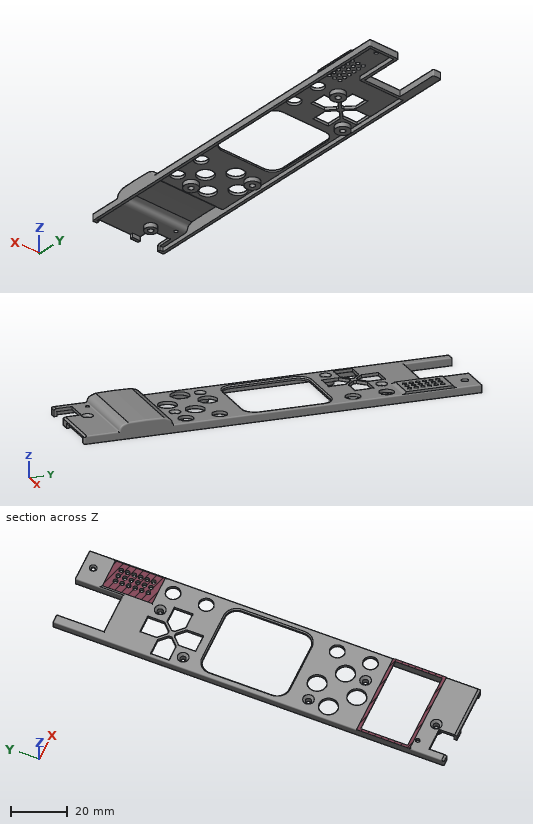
import cadquery as cq
import math

WIDTH = 33.11
LENGTH = 149.8
PLATE_TOP = 3.0
SKIN = 1.2
PLATE_UNDERSIDE = PLATE_TOP - SKIN
EDGE_FILLET = 0.5
NEAR_BEVEL_RUN = 0.9
NEAR_BEVEL_DROP = 0.5
OVERCUT = 1.0

ARM_WIDTH = 3.6
BLOCK_LEFT = 19.9
FAR_NOTCH_DEPTH = 18.1
FAR_NOTCH_FLOOR = LENGTH - FAR_NOTCH_DEPTH

NEAR_NOTCH_LEFT = 2.7
NEAR_NOTCH_RIGHT = 11.75
NEAR_NOTCH_DEPTH = 6.8
OPENING_LEFT = 15.4
OPENING_RIGHT = 31.0

HUMP_Y = 23.3
HUMP_RIDGE = 6.2
HUMP_SHOULDER = 6.05
HUMP_TOP_HALF = 6.8
HUMP_BEVEL_RUN = 1.55
HUMP_BEVEL_ANGLE = math.radians(20)
HUMP_WALL_ANGLE = math.radians(80)
HUMP_ROUND = 2.7
HUMP_SIDE_FILLET = 0.65
HUMP_EDGE_CLEARANCE = 0.05

GRILLE_LEFT = 20.35
GRILLE_FRONT = 120.0
GRILLE_BACK = 140.3
GRILLE_TOP = 3.9
GRILLE_SIDE_RUN = 1.8
GRILLE_FRONT_RUN = 1.35
GRILLE_HOLE = 1.5
GRILLE_PITCH = 2.5
GRILLE_COLUMNS = 3
GRILLE_ROWS = 6
GRILLE_HOLES_CENTER = (27.1, 130.0)

PAD_CENTER = (12.0, 109.35)
PAD_REACH = 10.65
PAD_ARM_WIDTH = 7.1
PAD_WEB = 1.0
PAD_TIP_GAP = 1.3
BUTTONS_CENTER = (12.95, 46.45)
BUTTON_SPREAD = 7.6
BUTTON_HOLE = 7.0

SIDE_BUTTON_X = 28.05
SIDE_BUTTON_SPREAD = 6.35
SIDE_BUTTON_HOLE = 5.5

SCREW_SPREAD = 7.65
SCREW_HOLE = 2.2
SCREW_HEAD = 4.1
BOSS_DIAMETER = 6.0
NEAR_BOSS_DIAMETER = 5.0
NEAR_SCREW = (13.35, 8.6)
END_SCREW = (26.65, 145.7)
END_SCREW_HOLE = 1.6
END_SCREW_HEAD = 2.7
PIN_HOLE = (4.5, 11.95)
PIN_HOLE_DIAMETER = 1.5

WINDOW_LEFT = 2.3
WINDOW_RIGHT = 30.75
WINDOW_FRONT = 62.2
WINDOW_BACK = 95.05
WINDOW_RADIUS = 4.5
WINDOW_BEVEL = 0.5
WINDOW_BEVEL_ANGLE = 45


def box(x0, x1, y0, y1, z0, z1):
    return cq.Workplane("XY").box(x1 - x0, y1 - y0, z1 - z0, centered=False).translate((x0, y0, z0))


def cylinder(center, diameter, z0, z1):
    return cq.Workplane("XY").workplane(offset=z0).center(*center).circle(diameter / 2).extrude(z1 - z0)


def plate_body():
    """Solid plate with the far notch and rounded outer edges."""
    body = box(0, WIDTH, 0, LENGTH, 0, PLATE_TOP)
    far_notch = box(ARM_WIDTH, BLOCK_LEFT, FAR_NOTCH_FLOOR, LENGTH + OVERCUT, -OVERCUT, PLATE_TOP + OVERCUT)
    body = body.cut(far_notch)
    near_bevel = (
        cq.Workplane("YZ")
        .polyline([(0, PLATE_TOP - NEAR_BEVEL_DROP), (0, PLATE_TOP), (NEAR_BEVEL_RUN, PLATE_TOP)])
        .close()
        .extrude(WIDTH)
    )
    body = body.cut(near_bevel)
    body = body.edges("|Z").edges(">Y").fillet(EDGE_FILLET)
    body = body.faces(">Z").edges("not <Y").fillet(EDGE_FILLET)
    rounded_block = box(0, WIDTH, 0, LENGTH + OVERCUT, 0, PLATE_TOP).edges("|Z and <Y").fillet(EDGE_FILLET)
    return body.intersect(rounded_block)


def cavity():
    """Hollow under the plate, leaving a wall all round."""
    main = box(SKIN, WIDTH - SKIN, SKIN, FAR_NOTCH_FLOOR - SKIN, -OVERCUT, PLATE_UNDERSIDE)
    block = box(BLOCK_LEFT + SKIN, WIDTH - SKIN, SKIN, LENGTH - SKIN, -OVERCUT, PLATE_UNDERSIDE)
    return main.union(block)


def polar(center, radius, angle):
    return (center[0] + radius * math.sin(angle), center[1] + radius * math.cos(angle))


def hump_outline(offset, floor):
    """Half of the hump section, from the ridge out and down to the plate, moved inward by offset."""
    bevel_start = (HUMP_TOP_HALF, HUMP_SHOULDER)
    bevel_end = (
        HUMP_TOP_HALF + HUMP_BEVEL_RUN,
        HUMP_SHOULDER - HUMP_BEVEL_RUN * math.tan(HUMP_BEVEL_ANGLE),
    )
    round_center = polar(bevel_end, -HUMP_ROUND, HUMP_BEVEL_ANGLE)
    wall_point = polar(round_center, HUMP_ROUND, HUMP_WALL_ANGLE)
    flare = (wall_point[1] - PLATE_TOP) / (1 - math.cos(HUMP_WALL_ANGLE))
    flare_center = polar(wall_point, flare, HUMP_WALL_ANGLE)
    mean_angle = (HUMP_BEVEL_ANGLE + HUMP_WALL_ANGLE) / 2
    convex = HUMP_ROUND - offset
    concave = flare + offset
    return {
        "ridge": (0, HUMP_RIDGE - offset),
        "shoulder": polar(bevel_start, -offset, HUMP_BEVEL_ANGLE / 2),
        "round_start": polar(round_center, convex, HUMP_BEVEL_ANGLE),
        "round_middle": polar(round_center, convex, mean_angle),
        "round_end": polar(round_center, convex, HUMP_WALL_ANGLE),
        "flare_middle": polar(flare_center, -concave, HUMP_WALL_ANGLE / 2),
        "flare_end": polar(flare_center, -concave, 0),
        "floor": (flare_center[0], floor),
    }


def hump_solid(offset, floor, x0, x1):
    half = hump_outline(offset, floor)
    right = {name: (HUMP_Y + p[0], p[1]) for name, p in half.items()}
    left = {name: (HUMP_Y - p[0], p[1]) for name, p in half.items()}
    section = (
        cq.Workplane("YZ")
        .workplane(offset=x0)
        .moveTo(*right["ridge"])
        .lineTo(*right["shoulder"])
        .lineTo(*right["round_start"])
        .threePointArc(right["round_middle"], right["round_end"])
        .threePointArc(right["flare_middle"], right["flare_end"])
        .lineTo(*right["floor"])
        .lineTo(*left["floor"])
        .lineTo(*left["flare_end"])
        .threePointArc(left["flare_middle"], left["round_end"])
        .threePointArc(left["round_middle"], left["round_start"])
        .lineTo(*left["shoulder"])
        .close()
    )
    return section.extrude(x1 - x0)


def hump():
    solid = hump_solid(0, PLATE_UNDERSIDE, 0, WIDTH)
    lowest_edge = PLATE_TOP + HUMP_EDGE_CLEARANCE
    above_plate = cq.selectors.BoxSelector(
        (-OVERCUT, 0, lowest_edge), (WIDTH + OVERCUT, LENGTH, HUMP_RIDGE + OVERCUT)
    )
    return solid.edges("<X or >X").edges(above_plate).fillet(HUMP_SIDE_FILLET)


def hump_cavity():
    return hump_solid(SKIN, 0, SKIN, WIDTH - SKIN)


def flare_middle_offset(run, rise):
    """Offset to the middle of an arc that leaves the horizontal and climbs by rise over run."""
    end_angle = 2 * math.atan(rise / run)
    radius = run / math.sin(end_angle)
    return (radius * math.sin(end_angle / 2), radius * (1 - math.cos(end_angle / 2)))


def grille_flank(section, start, top_end):
    """Add an S-shaped flank to a section: concave arc off the plate, then convex arc into the top."""
    middle = ((start + top_end) / 2, (PLATE_TOP + GRILLE_TOP) / 2)
    run, rise = flare_middle_offset(GRILLE_SIDE_RUN / 2, (GRILLE_TOP - PLATE_TOP) / 2)
    inward = math.copysign(run, top_end - start)
    concave_middle = (start + inward, PLATE_TOP + rise)
    convex_middle = (top_end - inward, GRILLE_TOP - rise)
    return section.threePointArc(concave_middle, middle).threePointArc(convex_middle, (top_end, GRILLE_TOP))


def grille_pad():
    """Raised pad with flared left, front and back, reaching the plate's right edge rounding."""
    right = WIDTH - EDGE_FILLET
    front_run, front_rise = flare_middle_offset(GRILLE_FRONT_RUN, GRILLE_TOP - PLATE_TOP)
    along_y = (
        cq.Workplane("YZ")
        .workplane(offset=GRILLE_LEFT)
        .moveTo(GRILLE_BACK, PLATE_TOP)
    )
    along_y = (
        grille_flank(along_y, GRILLE_BACK, GRILLE_BACK - GRILLE_SIDE_RUN)
        .lineTo(GRILLE_FRONT + GRILLE_FRONT_RUN, GRILLE_TOP)
        .threePointArc((GRILLE_FRONT + front_run, PLATE_TOP + front_rise), (GRILLE_FRONT, PLATE_TOP))
        .lineTo(GRILLE_FRONT, PLATE_UNDERSIDE)
        .lineTo(GRILLE_BACK, PLATE_UNDERSIDE)
        .close()
        .extrude(right - GRILLE_LEFT)
    )
    along_x = cq.Workplane("XZ").moveTo(GRILLE_LEFT, PLATE_TOP)
    along_x = (
        grille_flank(along_x, GRILLE_LEFT, GRILLE_LEFT + GRILLE_SIDE_RUN)
        .lineTo(right, GRILLE_TOP)
        .lineTo(right, PLATE_UNDERSIDE)
        .lineTo(GRILLE_LEFT, PLATE_UNDERSIDE)
        .close()
        .extrude(-LENGTH)
    )
    return along_y.intersect(along_x)


def grille_holes():
    return (
        cq.Workplane("XY")
        .center(*GRILLE_HOLES_CENTER)
        .rarray(GRILLE_PITCH, GRILLE_PITCH, GRILLE_COLUMNS, GRILLE_ROWS)
        .circle(GRILLE_HOLE / 2)
        .extrude(GRILLE_TOP + OVERCUT)
    )


def direction_pad():
    """Four arrow-tipped openings round a diagonal web."""
    half = PAD_ARM_WIDTH / 2
    web_shift = PAD_WEB / math.sqrt(2)
    tip_half = PAD_TIP_GAP - web_shift
    arm = (
        cq.Workplane("XY")
        .polyline([
            (PAD_TIP_GAP, -tip_half),
            (half + web_shift, -half),
            (PAD_REACH, -half),
            (PAD_REACH, half),
            (half + web_shift, half),
            (PAD_TIP_GAP, tip_half),
        ])
        .close()
        .extrude(PLATE_TOP + OVERCUT)
    )
    pad = arm
    for turn in (90, 180, 270):
        pad = pad.union(arm.rotate((0, 0, 0), (0, 0, 1), turn))
    return pad.translate((PAD_CENTER[0], PAD_CENTER[1], 0))


def button_holes():
    x, y = BUTTONS_CENTER
    centers = [
        (x - BUTTON_SPREAD, y),
        (x + BUTTON_SPREAD, y),
        (x, y - BUTTON_SPREAD),
        (x, y + BUTTON_SPREAD),
    ]
    holes = cq.Workplane("XY").pushPoints(centers).circle(BUTTON_HOLE / 2)
    holes = holes.extrude(PLATE_TOP + OVERCUT)
    side_centers = [
        (SIDE_BUTTON_X, group_y + shift)
        for group_y in (PAD_CENTER[1], BUTTONS_CENTER[1])
        for shift in (-SIDE_BUTTON_SPREAD, SIDE_BUTTON_SPREAD)
    ]
    side_holes = cq.Workplane("XY").pushPoints(side_centers).circle(SIDE_BUTTON_HOLE / 2)
    return holes.union(side_holes.extrude(PLATE_TOP + OVERCUT))


def window():
    """Rounded rectangular opening, bevelled at the top face."""
    center = ((WINDOW_LEFT + WINDOW_RIGHT) / 2, (WINDOW_FRONT + WINDOW_BACK) / 2)
    opening = box(WINDOW_LEFT, WINDOW_RIGHT, WINDOW_FRONT, WINDOW_BACK, -OVERCUT, PLATE_TOP)
    opening = opening.edges("|Z").fillet(WINDOW_RADIUS)
    bevel = (
        cq.Workplane("XY")
        .workplane(offset=PLATE_TOP)
        .center(*center)
        .sketch()
        .rect(WINDOW_RIGHT - WINDOW_LEFT + 2 * WINDOW_BEVEL, WINDOW_BACK - WINDOW_FRONT + 2 * WINDOW_BEVEL)
        .vertices()
        .fillet(WINDOW_RADIUS + WINDOW_BEVEL)
        .finalize()
        .extrude(-WINDOW_BEVEL, taper=WINDOW_BEVEL_ANGLE)
    )
    return opening.union(bevel)


def countersunk_hole(center, hole, head):
    depth = (head - hole) / 2
    cone = cq.Solid.makeCone(hole / 2, head / 2, depth, cq.Vector(*center, PLATE_TOP - depth))
    return cylinder(center, hole, -OVERCUT, PLATE_TOP + OVERCUT).union(cq.Workplane(cone))


def group_screws():
    """Screw positions beside the direction pad and the button group."""
    pad_x, pad_y = PAD_CENTER
    buttons_x, buttons_y = BUTTONS_CENTER
    return [
        (pad_x + SCREW_SPREAD, pad_y + SCREW_SPREAD),
        (pad_x - SCREW_SPREAD, pad_y - SCREW_SPREAD),
        (buttons_x - SCREW_SPREAD, buttons_y + SCREW_SPREAD),
        (buttons_x + SCREW_SPREAD, buttons_y - SCREW_SPREAD),
    ]


def screw_bosses():
    bosses = cylinder(NEAR_SCREW, NEAR_BOSS_DIAMETER, 0, PLATE_UNDERSIDE)
    for screw in group_screws():
        bosses = bosses.union(cylinder(screw, BOSS_DIAMETER, 0, PLATE_UNDERSIDE))
    return bosses


def screw_holes():
    holes = countersunk_hole(END_SCREW, END_SCREW_HOLE, END_SCREW_HEAD)
    for screw in group_screws() + [NEAR_SCREW]:
        holes = holes.union(countersunk_hole(screw, SCREW_HOLE, SCREW_HEAD))
    return holes


def near_end_cuts():
    """Notch through the near end, and the opening below the plate beside it."""
    notch = box(
        NEAR_NOTCH_LEFT, NEAR_NOTCH_RIGHT, -OVERCUT, NEAR_NOTCH_DEPTH, -OVERCUT, PLATE_TOP + OVERCUT
    )
    opening = box(OPENING_LEFT, OPENING_RIGHT, -OVERCUT, SKIN, -OVERCUT, PLATE_UNDERSIDE)
    return notch.union(opening)


shell = plate_body().union(hump()).union(grille_pad())
shell = shell.cut(cavity()).cut(hump_cavity())
shell = shell.union(screw_bosses())

shell = shell.cut(near_end_cuts()).cut(window())
shell = shell.cut(direction_pad()).cut(button_holes()).cut(grille_holes())
pin_hole = cylinder(PIN_HOLE, PIN_HOLE_DIAMETER, -OVERCUT, PLATE_TOP + OVERCUT)

result = shell.cut(screw_holes()).cut(pin_hole)